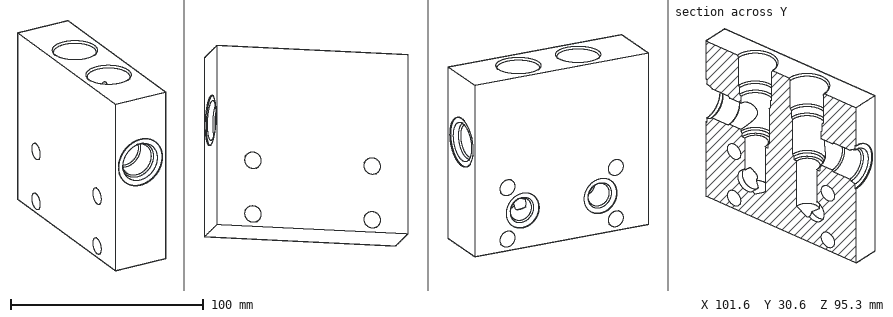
import cadquery as cq
import math

LENGTH = 101.6
DEPTH = 30.2
HEIGHT = 95.3
MID_X = LENGTH / 2
MID_Y = DEPTH / 2

MOUNT_HOLE_RADIUS = 4.4
MOUNT_SPACING_X = 63.4
MOUNT_SPACING_Z = 28.5
MOUNT_CENTER_Z = 20.8

CAVITY_SPACING = 35.0
MOUTH_RADIUS = 11.8
THREAD_RADIUS = 11.1
MOUTH_DEPTH = 1.2
THREAD_DEPTH = 18.3
RELIEF_RADIUS = 10.3
RELIEF_DEPTH = 23.4
SEAT_RADIUS = 9.4
SEAT_DEPTH = 45.7
NOSE_RADIUS = 8.6
CAVITY_TAPER_DEPTH = 1.0
NOSE_DEPTH = 48.8
DRILL_RADIUS = 6.7
DRILL_DEPTH = 76.4
DRILL_POINT_ANGLE = 118.0

PORT_Z = 58.6
SPOTFACE_RADIUS = 13.1
SPOTFACE_DEPTH = 0.6
PORT_MOUTH_RADIUS = 10.4
PORT_NECK_RADIUS = 9.5
PORT_THREAD_RADIUS = 8.7
PORT_MOUTH_DEPTH = 2.6
PORT_NECK_DEPTH = 0.9
PORT_THREAD_DEPTH = 15.2
PORT_TAPER_DEPTH = 0.8
PORT_BORE_RADIUS = 7.9

BACK_PORT_SPACING = 45.5
BACK_PORT_RADIUS = 6.2
BACK_PORT_BOTTOM_BEYOND_MID = 3.1
RING_SECTION_RADIUS = 1.3
RING_MEAN_RADIUS = 8.3
RING_PROTRUSION = 0.4
COUNTERBORE_RADIUS = RING_MEAN_RADIUS + RING_SECTION_RADIUS
COUNTERBORE_DEPTH = 2 * RING_SECTION_RADIUS - RING_PROTRUSION

PILOT_RADIUS = 1.5
PILOT_OFFSET_Y = 3.3
PILOT_START_Z = 63.1
PILOT_RISE_ANGLE = 53.0


def drill_point_length(radius):
    """Height of the conical tip left by a drill of the given radius."""
    return radius / math.tan(math.radians(DRILL_POINT_ANGLE / 2))


def stepped_cutter(profile):
    """Solid of revolution about Z from (radius, depth) points; depth runs down from z = 0."""
    points = [(radius, -depth) for radius, depth in profile]
    outline = cq.Workplane("XZ").moveTo(0, 0)
    for point in points:
        outline = outline.lineTo(*point)
    return outline.close().revolve(360, (0, 0), (0, 1))


def cavity_cutter():
    return stepped_cutter([
        (MOUTH_RADIUS, 0),
        (THREAD_RADIUS, MOUTH_DEPTH),
        (THREAD_RADIUS, THREAD_DEPTH),
        (RELIEF_RADIUS, THREAD_DEPTH + CAVITY_TAPER_DEPTH),
        (RELIEF_RADIUS, RELIEF_DEPTH),
        (SEAT_RADIUS, RELIEF_DEPTH + CAVITY_TAPER_DEPTH),
        (SEAT_RADIUS, SEAT_DEPTH),
        (NOSE_RADIUS, SEAT_DEPTH + CAVITY_TAPER_DEPTH),
        (NOSE_RADIUS, NOSE_DEPTH),
        (DRILL_RADIUS, NOSE_DEPTH),
        (DRILL_RADIUS, DRILL_DEPTH),
        (0, DRILL_DEPTH + drill_point_length(DRILL_RADIUS)),
    ])


def side_port_cutter():
    cavity_axis_depth = MID_X - CAVITY_SPACING / 2
    neck_start = SPOTFACE_DEPTH + PORT_MOUTH_DEPTH
    return stepped_cutter([
        (SPOTFACE_RADIUS, 0),
        (SPOTFACE_RADIUS, SPOTFACE_DEPTH),
        (PORT_MOUTH_RADIUS, SPOTFACE_DEPTH),
        (PORT_NECK_RADIUS, neck_start),
        (PORT_THREAD_RADIUS, neck_start + PORT_NECK_DEPTH),
        (PORT_THREAD_RADIUS, PORT_THREAD_DEPTH),
        (PORT_BORE_RADIUS, PORT_THREAD_DEPTH + PORT_TAPER_DEPTH),
        (PORT_BORE_RADIUS, cavity_axis_depth),
        (0, cavity_axis_depth),
    ])


def back_port_cutter():
    bottom_depth = MID_Y + BACK_PORT_BOTTOM_BEYOND_MID
    return stepped_cutter([
        (COUNTERBORE_RADIUS, 0),
        (COUNTERBORE_RADIUS, COUNTERBORE_DEPTH),
        (BACK_PORT_RADIUS, COUNTERBORE_DEPTH),
        (BACK_PORT_RADIUS, bottom_depth),
        (0, bottom_depth + drill_point_length(BACK_PORT_RADIUS)),
    ])


def pilot_cutter():
    """Slanted cylinder from the left cavity's wall to the right cavity's wall."""
    angle = math.radians(PILOT_RISE_ANGLE)
    left_wall_x = MID_X - CAVITY_SPACING / 2 + math.sqrt(SEAT_RADIUS**2 - PILOT_OFFSET_Y**2)
    right_wall_x = MID_X + CAVITY_SPACING / 2 - math.sqrt(THREAD_RADIUS**2 - PILOT_OFFSET_Y**2)
    overrun = 2 * PILOT_RADIUS
    direction = cq.Vector(math.cos(angle), 0, math.sin(angle))
    start = cq.Vector(left_wall_x, MID_Y + PILOT_OFFSET_Y, PILOT_START_Z) - direction * overrun
    length = (right_wall_x - left_wall_x) / math.cos(angle) + 2 * overrun
    return cq.Solid.makeCylinder(PILOT_RADIUS, length, start, direction)


def make_block():
    block = cq.Workplane("XY").box(LENGTH, DEPTH, HEIGHT, centered=False)
    mount_holes = (
        cq.Workplane("XZ", origin=(MID_X, 0, MOUNT_CENTER_Z))
        .rect(MOUNT_SPACING_X, MOUNT_SPACING_Z, forConstruction=True)
        .vertices()
        .circle(MOUNT_HOLE_RADIUS)
        .extrude(-DEPTH)
    )
    block = block.cut(mount_holes)

    back_port = back_port_cutter().rotate((0, 0, 0), (1, 0, 0), -90)
    side_port = side_port_cutter().rotate((0, 0, 0), (0, 1, 0), -90)
    for side in (-1, 1):
        cavity_x = MID_X + side * CAVITY_SPACING / 2
        back_port_x = MID_X + side * BACK_PORT_SPACING / 2
        block = block.cut(cavity_cutter().translate((cavity_x, MID_Y, HEIGHT)))
        block = block.cut(back_port.translate((back_port_x, DEPTH, MOUNT_CENTER_Z)))
    left_port = side_port.translate((0, MID_Y, PORT_Z))
    right_port = left_port.rotate((MID_X, MID_Y, 0), (MID_X, MID_Y, 1), 180)
    return block.cut(left_port).cut(right_port).cut(pilot_cutter())


def make_o_ring(center_x):
    """O-ring resting on the counterbore floor and standing proud of the back face."""
    center = cq.Vector(center_x, DEPTH + RING_PROTRUSION - RING_SECTION_RADIUS, MOUNT_CENTER_Z)
    return cq.Solid.makeTorus(RING_MEAN_RADIUS, RING_SECTION_RADIUS, center, cq.Vector(0, 1, 0))


block = make_block()
o_rings = [make_o_ring(MID_X + side * BACK_PORT_SPACING / 2) for side in (-1, 1)]
result = cq.Compound.makeCompound([block.val(), *o_rings])